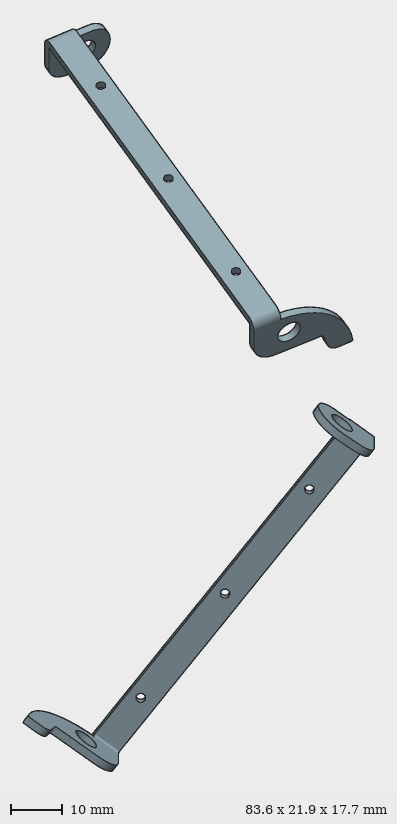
import cadquery as cq
import math

length = 83.6
strap_width = 6.0
strap_thickness = 1.75
ear_thickness = 1.7
bend_radius = 2.2
inner_bend_radius = 0.4

strap_hole_diameter = 1.8
strap_hole_spacing = 27.0
strap_hole_y = 3.4
middle_hole_x = 1.5

pivot_y = 7.9
pivot_z = -7.0
pivot_diameter = 5.0

ear_top = -2.25
eye_radius = 5.8
eye_blend_radius = 3.9
eye_corner_radius = 4.0
eye_corner_z = -8.3

claw_bottom = -17.7
claw_web_bottom = -12.4
claw_front_bottom = -11.95
claw_back_radius = 17.1
claw_back_y = 4.9
claw_back_z = -19.3
claw_front_radius = 4.8
claw_notch_y = 15.4
claw_heel_y = 16.9
claw_notch_radius = 0.7
claw_heel_radius = 2.5
claw_tip_radius = 0.3


def point_on_circle(y, z, radius, angle):
    return y + radius * math.cos(angle), z + radius * math.sin(angle)


def bent_strap():
    """Flat bar with a rounded bend and a short leg at each end."""
    leg_length = 2 * bend_radius
    outer = (
        cq.Workplane("XY")
        .box(length, strap_width, leg_length, centered=(True, False, False))
        .translate((0, 0, -leg_length))
        .edges("|Y and >Z")
        .fillet(bend_radius)
    )
    inner_height = leg_length - strap_thickness
    inner = (
        cq.Workplane("XY")
        .box(length - 2 * ear_thickness, strap_width, inner_height, centered=(True, False, False))
        .translate((0, 0, -leg_length))
        .edges("|Y and >Z")
        .fillet(inner_bend_radius)
    )
    return outer.cut(inner)


def left_ear():
    """Eye around the pivot, blended into a flat top and a rounded front corner."""
    blend_z = ear_top - eye_blend_radius
    center_gap = eye_radius - eye_blend_radius
    touch_angle = math.asin((blend_z - pivot_z) / center_gap)
    blend_y = pivot_y + center_gap * math.cos(touch_angle)
    blend_end = point_on_circle(blend_y, blend_z, eye_blend_radius, touch_angle)
    blend_middle = point_on_circle(
        blend_y, blend_z, eye_blend_radius, (touch_angle + math.pi / 2) / 2
    )

    corner_y = eye_corner_radius
    center_distance = math.hypot(corner_y - pivot_y, eye_corner_z - pivot_z)
    center_angle = math.atan2(eye_corner_z - pivot_z, corner_y - pivot_y)
    radius_difference = eye_radius - eye_corner_radius
    tangent_angle = center_angle + math.acos(radius_difference / center_distance)
    eye_end = point_on_circle(pivot_y, pivot_z, eye_radius, tangent_angle)
    eye_middle = point_on_circle(
        pivot_y, pivot_z, eye_radius, (touch_angle + tangent_angle) / 2
    )
    corner_start = point_on_circle(corner_y, eye_corner_z, eye_corner_radius, tangent_angle)
    corner_middle = point_on_circle(
        corner_y, eye_corner_z, eye_corner_radius, (tangent_angle - math.pi) / 2
    )

    return (
        cq.Workplane("YZ", origin=(-length / 2, 0, 0))
        .moveTo(0, ear_top)
        .lineTo(blend_y, ear_top)
        .threePointArc(blend_middle, blend_end)
        .threePointArc(eye_middle, eye_end)
        .lineTo(*corner_start)
        .threePointArc(corner_middle, (0, eye_corner_z))
        .close()
        .extrude(ear_thickness)
    )


def right_ear():
    """Claw with one large arc along its back and a notched underside."""
    start_angle = math.acos((strap_width - claw_back_y) / claw_back_radius)
    tip_angle = math.asin((claw_bottom - claw_back_z) / claw_back_radius)
    back_start = point_on_circle(claw_back_y, claw_back_z, claw_back_radius, start_angle)
    back_middle = point_on_circle(
        claw_back_y, claw_back_z, claw_back_radius, (start_angle + tip_angle) / 2
    )
    tip = point_on_circle(claw_back_y, claw_back_z, claw_back_radius, tip_angle)
    heel = (claw_heel_y, claw_bottom)
    notch = (claw_notch_y, claw_web_bottom)
    front_corner = (0, claw_front_bottom)

    inner_x = length / 2 - ear_thickness
    ear = (
        cq.Workplane("YZ", origin=(inner_x, 0, 0))
        .moveTo(0, back_start[1])
        .lineTo(*back_start)
        .threePointArc(back_middle, tip)
        .lineTo(*heel)
        .lineTo(*notch)
        .lineTo(*front_corner)
        .close()
        .extrude(ear_thickness)
    )
    rounded_corners = [
        (tip, claw_tip_radius),
        (heel, claw_heel_radius),
        (notch, claw_notch_radius),
        (front_corner, claw_front_radius),
    ]
    for corner, radius in rounded_corners:
        edge_middle = (length / 2 - ear_thickness / 2, *corner)
        ear = ear.edges(cq.NearestToPointSelector(edge_middle)).fillet(radius)
    return ear


def strap_holes():
    """Row of three holes down through the strap."""
    return (
        cq.Workplane("XY")
        .center(middle_hole_x, strap_hole_y)
        .rarray(strap_hole_spacing, 0.8, 3, 1)
        .circle(strap_hole_diameter / 2)
        .extrude(-strap_thickness)
    )


def pivot_bore():
    """Bore through both ears."""
    return (
        cq.Workplane("YZ", origin=(-length / 2, 0, 0))
        .center(pivot_y, pivot_z)
        .circle(pivot_diameter / 2)
        .extrude(length)
    )


body = bent_strap().union(left_ear()).union(right_ear())
result = body.cut(strap_holes()).cut(pivot_bore())